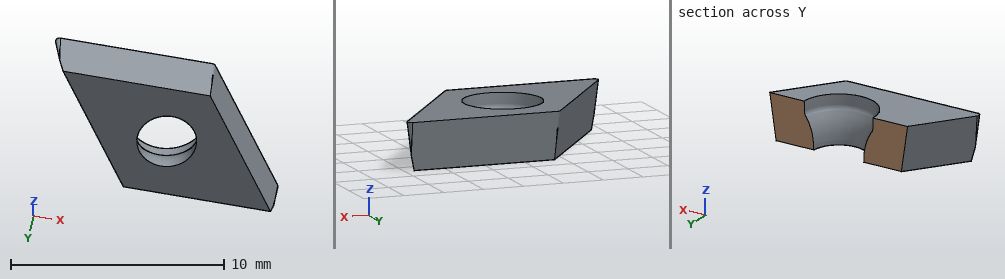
import cadquery as cq
import math

inscribed_diameter = 6.35
thickness = 2.38
corner_angle = 55.0
relief_angle = 7.0
nose_radius = 0.2

hole_diameter = 2.8
mouth_diameter = 3.85
mouth_depth = 0.57
mouth_foot_diameter = 3.8
seat_diameter = 3.62
seat_depth = 0.78
bore_depth = 2.15


def rhombus(inset):
    """Corner points of the rhombus whose sides lie `inset` inside the top outline."""
    half_height = inscribed_diameter / 2 - inset
    half_angle = math.radians(corner_angle / 2)
    long_half = half_height / math.sin(half_angle)
    short_half = half_height / math.cos(half_angle)
    along = (math.cos(half_angle), math.sin(half_angle))
    return [
        (long_half * along[0], long_half * along[1]),
        (-short_half * along[1], short_half * along[0]),
        (-long_half * along[0], -long_half * along[1]),
        (short_half * along[1], -short_half * along[0]),
    ]


body = (
    cq.Workplane("XY")
    .polyline(rhombus(nose_radius))
    .close()
    .offset2D(nose_radius)
    .extrude(-thickness, taper=relief_angle)
)

bore_radius = hole_diameter / 2
seat_edge = (seat_diameter / 2, -seat_depth)
mouth = (
    cq.Workplane("XZ")
    .lineTo(mouth_diameter / 2, 0)
    .lineTo(mouth_foot_diameter / 2, -mouth_depth)
    .tangentArcPoint(seat_edge, relative=False)
    .lineTo(0, -seat_depth)
    .close()
    .revolve(360, (0, 0, 0), (0, 1, 0))
)
flare_and_bore = (
    cq.Workplane("XZ")
    .moveTo(0, -thickness)
    .lineTo(bore_radius, -thickness)
    .lineTo(bore_radius, -bore_depth)
    .tangentArcPoint(seat_edge, relative=False)
    .lineTo(0, -seat_depth)
    .close()
    .revolve(360, (0, 0, 0), (0, 1, 0))
)

result = body.cut(mouth).cut(flare_and_bore)